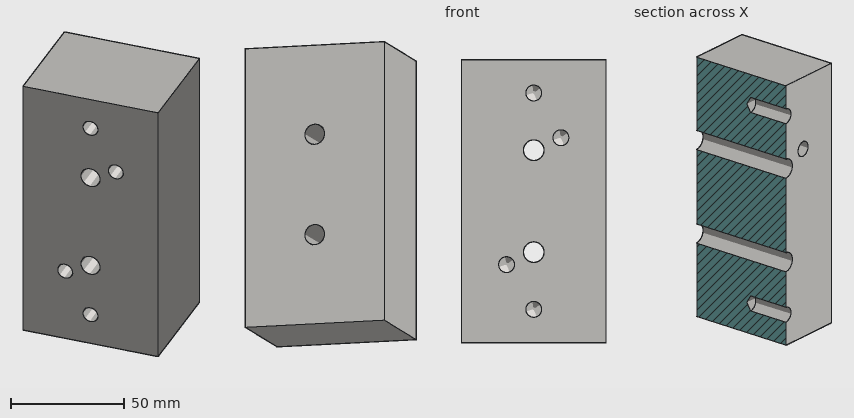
import cadquery as cq
import math

WIDTH = 64.0
THICKNESS = 50.8
HEIGHT = 125.0

THROUGH_DIAMETER = 9.0
THROUGH_OFFSET_Z = 22.5

BLIND_DIAMETER = 7.0
BLIND_DEPTH = 20.0
DRILL_POINT_ANGLE = 118.0
CENTRE_BLIND_OFFSET_Z = 47.8
SIDE_BLIND_OFFSET_X = 12.0
SIDE_BLIND_OFFSET_Z = 28.0

FRONT_Y = -THICKNESS / 2


def through_hole(x, z):
    """Cylinder running the full thickness along Y."""
    start = cq.Vector(x, FRONT_Y, z)
    return cq.Solid.makeCylinder(THROUGH_DIAMETER / 2, THICKNESS, start, cq.Vector(0, 1, 0))


def blind_hole(x, z):
    """Drilled hole from the front face: straight bore ending in a drill point."""
    radius = BLIND_DIAMETER / 2
    point_length = radius / math.tan(math.radians(DRILL_POINT_ANGLE / 2))
    profile = (
        cq.Workplane("XY")
        .polyline([(0, 0), (radius, 0), (radius, BLIND_DEPTH), (0, BLIND_DEPTH + point_length)])
        .close()
    )
    drill = profile.revolve(360, (0, 0, 0), (0, 1, 0))
    return drill.translate((x, FRONT_Y, z))


result = cq.Workplane("XY").box(WIDTH, THICKNESS, HEIGHT)

for side in (1, -1):
    result = result.cut(cq.Workplane(through_hole(0, side * THROUGH_OFFSET_Z)))
    result = result.cut(blind_hole(0, side * CENTRE_BLIND_OFFSET_Z))
    result = result.cut(blind_hole(side * SIDE_BLIND_OFFSET_X, side * SIDE_BLIND_OFFSET_Z))